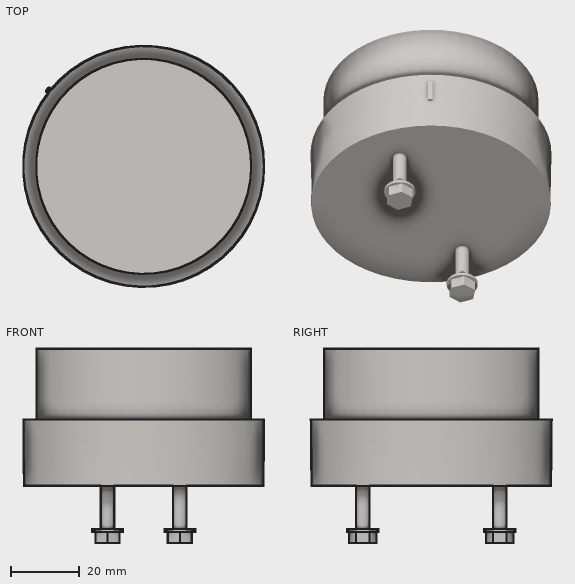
import cadquery as cq
import math

BASE_TOP_DIAMETER = 70.0
BASE_BOTTOM_DIAMETER = 69.6
BASE_HEIGHT = 19.3
CAP_DIAMETER = 62.5
CAP_HEIGHT = 20.5

NUB_ANGLE = 141.3
NUB_WIDTH = 1.4
NUB_PROJECTION = 0.85
NUB_BOTTOM_Z = 9.3
NUB_HEIGHT = 6.9

BOLT_OFFSET_X = 10.5
BOLT_OFFSET_Y = 19.9
SHANK_DIAMETER = 4.0
SHANK_LENGTH = 12.55
FLANGE_DIAMETER = 9.0
FLANGE_THICKNESS = 0.85
HEAD_ACROSS_FLATS = 7.0
HEAD_HEIGHT = 3.2
HEAD_TURN = 30.0


def base_wall(offset):
    """Drafted round of the base, grown outward by the offset."""
    bottom_radius = BASE_BOTTOM_DIAMETER / 2 + offset
    top_radius = BASE_TOP_DIAMETER / 2 + offset
    profile = [(0, 0), (bottom_radius, 0), (top_radius, BASE_HEIGHT), (0, BASE_HEIGHT)]
    return cq.Workplane("XZ").polyline(profile).close().revolve(360, (0, 0), (0, 1))


def make_nub():
    """Radial bar whose outer face follows the draft of the base wall."""
    bar_length = BASE_TOP_DIAMETER / 2 + 2 * NUB_PROJECTION
    bar = (
        cq.Workplane("XY", origin=(0, 0, NUB_BOTTOM_Z))
        .box(bar_length, NUB_WIDTH, NUB_HEIGHT, centered=(False, True, False))
        .rotate((0, 0, 0), (0, 0, 1), NUB_ANGLE)
    )
    return bar.intersect(base_wall(NUB_PROJECTION))


def make_housing():
    cap = cq.Workplane("XY", origin=(0, 0, BASE_HEIGHT)).circle(CAP_DIAMETER / 2).extrude(CAP_HEIGHT)
    return base_wall(0).union(cap).union(make_nub())


def make_bolt(x, y):
    """Bolt hanging head down, its shank end touching the base underside."""
    shank = cq.Workplane("XY").circle(SHANK_DIAMETER / 2).extrude(-SHANK_LENGTH)
    flange = shank.faces("<Z").workplane().circle(FLANGE_DIAMETER / 2).extrude(FLANGE_THICKNESS)
    across_corners = HEAD_ACROSS_FLATS / math.cos(math.pi / 6)
    head = (
        cq.Workplane("XY", origin=(0, 0, -SHANK_LENGTH - FLANGE_THICKNESS))
        .polygon(6, across_corners)
        .extrude(-HEAD_HEIGHT)
        .rotate((0, 0, 0), (0, 0, 1), HEAD_TURN)
    )
    return flange.union(head).translate((x, y, 0))


housing = make_housing()
bolts = [make_bolt(side * BOLT_OFFSET_X, -side * BOLT_OFFSET_Y) for side in (-1, 1)]

result = cq.Compound.makeCompound([housing.val(), *[bolt.val() for bolt in bolts]])